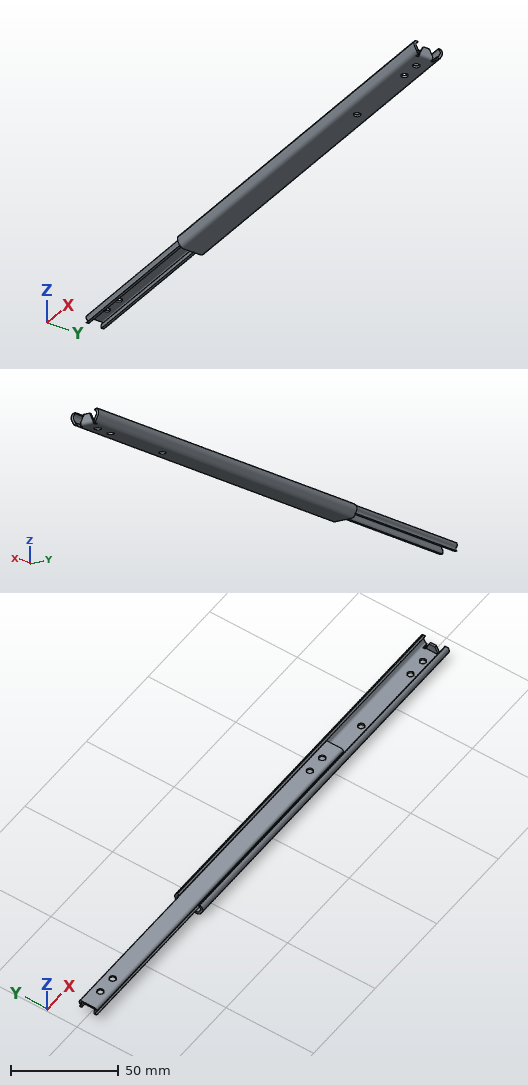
import cadquery as cq
import math


total_length = 282.0
rail_length = 200.1
outer_start = total_length - rail_length
total_height = 7.5
total_width = 16.0
half_width = total_width / 2

outer_sheet = 1.25
race_radius = 2.8
race_center = (half_width - race_radius, 4.2)
wall_lean = 28.0
race_end_angle = 52.0
lip_length = 0.8
corner_radius = 2.5

inner_sheet = 1.0
shoulder_radius = 1.5
shoulder_y = 3.7
groove_radius = 1.27
inflection_angle = 45.0
groove_end_angle = 60.0

stop_outer_face = 280.5
stop_base_half_width = 3.7
stop_top_half_width = 1.7
stop_height = 5.4
stop_bend_radius = 1.5
relief_start = 278.8
relief_half_width = 4.8
relief_height = 2.1
end_chamfer = 0.8

hole_diameter = 3.5
hole_pitch = rail_length / 20
outer_hole_steps = (1, 2, 6)


def polar(center, radius, elevation):
    """Point at a radius from center, at an elevation in degrees above the +Y direction."""
    angle = math.radians(elevation)
    return (center[0] + radius * math.cos(angle), center[1] + radius * math.sin(angle))


def arc_to(sketch, center, radius, start, end):
    """Add an arc about center from the start elevation to the end elevation."""
    return sketch.threePointArc(polar(center, radius, (start + end) / 2), polar(center, radius, end))


def mirrored_rail(half_section, start):
    """Extrude the +Y half of a rail section along X and join it to its mirror image."""
    half = half_section.close().extrude(rail_length).translate((start, 0, 0))
    return half.union(half.mirror("XZ")).clean()


def drill_holes(rail, positions):
    """Drill vertical screw holes through the rail web on its centre line."""
    holes = (
        cq.Workplane("XY")
        .pushPoints([(x, 0) for x in positions])
        .circle(hole_diameter / 2)
        .extrude(total_height)
    )
    return rail.cut(holes)


def along_lip(radius):
    """Tip of the straight lip that leaves the race tangentially at the given radius."""
    return polar(polar(race_center, radius, race_end_angle), lip_length, race_end_angle + 90)


def outer_section():
    """Half of the outer channel: base, corner bend, leaning flange and rolled race."""
    lean_y = math.cos(math.radians(wall_lean))
    lean_z = math.sin(math.radians(wall_lean))
    wall_offset = race_center[0] * lean_y - race_center[1] * lean_z + race_radius
    corner_y = (wall_offset - corner_radius + corner_radius * lean_z) / lean_y
    corner = (corner_y, corner_radius)
    corner_inside = corner_radius - outer_sheet
    race_inside = race_radius - outer_sheet

    sketch = cq.Workplane("YZ").moveTo(0, 0).lineTo(corner_y, 0)
    sketch = arc_to(sketch, corner, corner_radius, -90, -wall_lean)
    sketch = sketch.lineTo(*polar(race_center, race_radius, -wall_lean))
    sketch = arc_to(sketch, race_center, race_radius, -wall_lean, race_end_angle)
    sketch = sketch.lineTo(*along_lip(race_radius))
    sketch = sketch.lineTo(*along_lip(race_inside))
    sketch = sketch.lineTo(*polar(race_center, race_inside, race_end_angle))
    sketch = arc_to(sketch, race_center, race_inside, race_end_angle, -wall_lean)
    sketch = sketch.lineTo(*polar(corner, corner_inside, -wall_lean))
    sketch = arc_to(sketch, corner, corner_inside, -wall_lean, -90)
    return sketch.lineTo(0, outer_sheet)


def end_stop():
    """Tapered tab bent up from the base at the +X end."""
    stop_inner_face = stop_outer_face - outer_sheet
    bent_strip = (
        cq.Workplane("XZ")
        .moveTo(relief_start, 0)
        .lineTo(stop_outer_face, 0)
        .lineTo(stop_outer_face, stop_height)
        .lineTo(stop_inner_face, stop_height)
        .lineTo(stop_inner_face, outer_sheet)
        .lineTo(relief_start, outer_sheet)
        .close()
        .extrude(stop_base_half_width, both=True)
        .edges("|Y and >X and <Z")
        .fillet(stop_bend_radius)
    )
    taper = (
        cq.Workplane("YZ")
        .moveTo(-stop_base_half_width, 0)
        .lineTo(stop_base_half_width, 0)
        .lineTo(stop_base_half_width, outer_sheet)
        .lineTo(stop_top_half_width, stop_height)
        .lineTo(-stop_top_half_width, stop_height)
        .lineTo(-stop_base_half_width, outer_sheet)
        .close()
        .extrude(total_length)
    )
    return bent_strip.intersect(taper)


def make_outer_rail():
    rail = mirrored_rail(outer_section(), outer_start)

    relief_length = total_length - relief_start
    relief = (
        cq.Workplane("XY")
        .box(relief_length, 2 * relief_half_width, relief_height, centered=(False, True, False))
        .translate((relief_start, 0, 0))
    )
    rail = rail.cut(relief)

    flange_top = along_lip(race_radius)[1]
    envelope = (
        cq.Workplane("XZ")
        .moveTo(outer_start, 0)
        .lineTo(total_length - end_chamfer, 0)
        .lineTo(total_length, end_chamfer)
        .lineTo(total_length, flange_top - end_chamfer)
        .lineTo(total_length - end_chamfer, flange_top)
        .lineTo(outer_start, flange_top)
        .close()
        .extrude(half_width, both=True)
    )
    rail = rail.intersect(envelope).union(end_stop())
    return drill_holes(rail, [total_length - step * hole_pitch for step in outer_hole_steps])


def inner_section():
    """Half of the inner channel: web, shoulder bend and leg hollowed for the balls."""
    shoulder = (shoulder_y, total_height - shoulder_radius)
    groove = polar(shoulder, shoulder_radius + groove_radius, -inflection_angle)
    groove_start = 180 - inflection_angle
    groove_end = 180 + groove_end_angle
    shoulder_inside = shoulder_radius - inner_sheet
    groove_inside = groove_radius + inner_sheet
    foot_drop = groove_radius * math.sin(math.radians(groove_end_angle))
    foot_inside = 180 + math.degrees(math.asin(foot_drop / groove_inside))

    sketch = cq.Workplane("YZ").moveTo(0, total_height).lineTo(shoulder_y, total_height)
    sketch = arc_to(sketch, shoulder, shoulder_radius, 90, -inflection_angle)
    sketch = arc_to(sketch, groove, groove_radius, groove_start, groove_end)
    sketch = sketch.lineTo(*polar(groove, groove_inside, foot_inside))
    sketch = arc_to(sketch, groove, groove_inside, foot_inside, groove_start)
    sketch = arc_to(sketch, shoulder, shoulder_inside, -inflection_angle, 90)
    return sketch.lineTo(0, total_height - inner_sheet)


def make_inner_rail():
    rail = mirrored_rail(inner_section(), 0)
    from_start = [step * hole_pitch for step in (1, 2)]
    from_end = [rail_length - x for x in from_start]
    return drill_holes(rail, from_start + from_end)


outer_rail = make_outer_rail()
inner_rail = make_inner_rail()

result = cq.Compound.makeCompound([*outer_rail.solids().vals(), *inner_rail.solids().vals()])